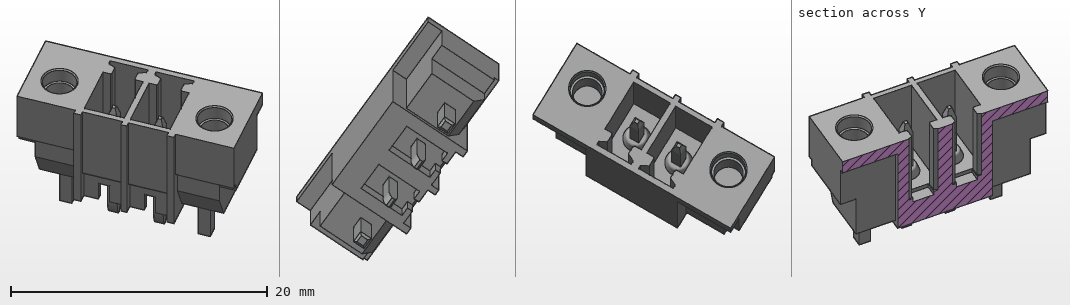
import cadquery as cq
import math


LENGTH = 17.91
HEIGHT = 9.19
REAR_Y = 3.98
FRONT_Y = -2.72
RIB_FRONT_Y = -3.1

PITCH = 3.8
CONTACT_XS = [-PITCH / 2, PITCH / 2]
CAVITY_WIDTH = 3.3
CAVITY_FRONT_Y = -2.3
CAVITY_REAR_Y = 2.1
END_WALL = 0.59
PARTITION = PITCH - CAVITY_WIDTH
CORE_WIDTH = PITCH + CAVITY_WIDTH + 2 * END_WALL

PANEL_RECESS = 0.32
LEDGE_TOP_Z = 2.67
LEDGE_BOTTOM_Z = 2.42
NOTCH_WIDTH = 0.91
NOTCH_HEIGHT = 1.67
PANEL_THICKNESS = 0.47
POCKET_WIDTH = 2.4
PANEL_Y = FRONT_Y + PANEL_RECESS
POCKET_FRONT_Y = PANEL_Y + PANEL_THICKNESS
CAVITY_FLOOR_Z = LEDGE_TOP_Z

KEY_REAR_Y = 3.5
KEY_FLANK_Y = 3.19
KEY_NECK_Y = 2.88
KEY_WIDTH = 3.12
NECK_WIDTH = 1.9
NECK_CHAMFER = 0.09
CHANNEL_WIDTH = 1.79
CHANNEL_DEPTH = 0.35

COLLAR_BASE_DIAMETER = 2.19
COLLAR_TOP_DIAMETER = 1.65
COLLAR_HEIGHT = 0.72
COLLAR_FILLET = 0.21

FLANGE_PLATE = 1.24
FLANGE_REAR_Y = 2.69
FLANGE_STEP_Z = 4.9
FLANGE_SHOULDER_Z = 4.32
FLANGE_BOTTOM_Z = 0.59
FLANGE_FOOT_LENGTH = 15.2
FOOT_FRONT_Y = CAVITY_FRONT_Y
FOOT_BEVEL_INSET = 1.0
FOOT_BEVEL_TOP_Z = 2.8

FLANGE_HOLE_X = 6.4
BORE_DIAMETER = 2.69
BORE_DEPTH = 1.25
BORE_CHAMFER = 0.1
INNER_BORE_DIAMETER = 2.3
INNER_BORE_DEPTH = 3.58

CONTACT_SIZE = 0.8
CONTACT_POINT_SIZE = 0.3
CONTACT_POINT_LENGTH = 0.9
CONTACT_TOP_Z = HEIGHT - 1.33
TAIL_BOTTOM_Z = -3.2
TAIL_NOSE_LENGTH = 1.07
TAIL_END_SIZE = 0.25

LEG_X = 5.71
LEG_SIZE = 1.0
LEG_TIP_LENGTH = 0.2
LEG_TIP_INSET = 0.2


def block(x_range, y_range, z_range):
    """Axis-aligned box between the given limits."""
    (x0, x1), (y0, y1), (z0, z1) = x_range, y_range, z_range
    return cq.Workplane("XY").box(x1 - x0, y1 - y0, z1 - z0, centered=False).translate((x0, y0, z0))


def centered_block(x, width, y_range, z_range):
    """Box of the given width centred on x."""
    return block((x - width / 2, x + width / 2), y_range, z_range)


def side_profile(points, length):
    """Outline in (y, z), extruded symmetrically along X."""
    return cq.Workplane("YZ").polyline(points).close().extrude(length / 2, both=True)


def square_taper(bottom_size, top_size, bottom_z, top_z):
    """Square frustum standing on the Z axis."""
    return (
        cq.Workplane("XY", origin=(0, 0, bottom_z))
        .rect(bottom_size, bottom_size)
        .workplane(offset=top_z - bottom_z)
        .rect(top_size, top_size)
        .loft(combine=True)
    )


def make_core():
    """Central block, with its lower front set back under a sloping ledge."""
    return side_profile(
        [
            (REAR_Y, 0),
            (REAR_Y, HEIGHT),
            (FRONT_Y, HEIGHT),
            (FRONT_Y, LEDGE_TOP_Z),
            (PANEL_Y, LEDGE_BOTTOM_Z),
            (PANEL_Y, 0),
        ],
        CORE_WIDTH,
    )


def make_flanges():
    """Both flanges as one bar: full-length upper part over a shorter bevelled foot."""
    upper = side_profile(
        [
            (REAR_Y, HEIGHT),
            (FRONT_Y, HEIGHT),
            (FRONT_Y, FLANGE_STEP_Z),
            (FOOT_FRONT_Y, FLANGE_STEP_Z),
            (FOOT_FRONT_Y, FLANGE_SHOULDER_Z),
            (FLANGE_REAR_Y, FLANGE_SHOULDER_Z),
            (FLANGE_REAR_Y, HEIGHT - FLANGE_PLATE),
            (REAR_Y, HEIGHT - FLANGE_PLATE),
        ],
        LENGTH,
    )
    foot = side_profile(
        [
            (FLANGE_REAR_Y, FLANGE_SHOULDER_Z),
            (FOOT_FRONT_Y, FLANGE_SHOULDER_Z),
            (FOOT_FRONT_Y, FOOT_BEVEL_TOP_Z),
            (FOOT_FRONT_Y + FOOT_BEVEL_INSET, FLANGE_BOTTOM_Z),
            (FLANGE_REAR_Y, FLANGE_BOTTOM_Z),
        ],
        FLANGE_FOOT_LENGTH,
    )
    bar = upper.union(foot)
    return bar.cut(centered_block(0, CORE_WIDTH, (FRONT_Y, REAR_Y), (0, HEIGHT)))


def make_ribs():
    """Full-height front ribs in line with the end walls and the partition."""
    end_rib_x = (CORE_WIDTH - END_WALL) / 2
    ribs = centered_block(0, PARTITION, (RIB_FRONT_Y, POCKET_FRONT_Y), (0, HEIGHT))
    for x in (-end_rib_x, end_rib_x):
        ribs = ribs.union(centered_block(x, END_WALL, (RIB_FRONT_Y, POCKET_FRONT_Y), (0, HEIGHT)))
    return ribs


def make_cavity(x):
    """Plug cavity with its dovetail key slot and the deeper channel along that slot."""
    half_key = KEY_WIDTH / 2
    half_neck = NECK_WIDTH / 2
    right_half = [
        (half_neck + NECK_CHAMFER, CAVITY_REAR_Y),
        (half_neck, CAVITY_REAR_Y + NECK_CHAMFER),
        (half_neck, KEY_NECK_Y),
        (half_key, KEY_FLANK_Y),
        (half_key, KEY_REAR_Y),
    ]
    left_half = [(-px, py) for px, py in reversed(right_half)]
    key_slot = (
        cq.Workplane("XY", origin=(x, 0, CAVITY_FLOOR_Z))
        .polyline(right_half + left_half)
        .close()
        .extrude(HEIGHT - CAVITY_FLOOR_Z)
    )
    opening = centered_block(
        x, CAVITY_WIDTH, (CAVITY_FRONT_Y, CAVITY_REAR_Y), (CAVITY_FLOOR_Z, HEIGHT)
    )
    channel = centered_block(
        x, CHANNEL_WIDTH, (CAVITY_REAR_Y, KEY_REAR_Y), (CAVITY_FLOOR_Z - CHANNEL_DEPTH, HEIGHT)
    )
    return opening.union(key_slot).union(channel)


def make_collar(x):
    """Conical collar with a rounded rim on the cavity floor."""
    return (
        cq.Workplane("XY", origin=(x, 0, CAVITY_FLOOR_Z))
        .circle(COLLAR_BASE_DIAMETER / 2)
        .workplane(offset=COLLAR_HEIGHT)
        .circle(COLLAR_TOP_DIAMETER / 2)
        .loft(combine=True)
        .faces(">Z")
        .edges()
        .fillet(COLLAR_FILLET)
    )


def make_underside(x):
    """Pocket below the contact plate, open to the front through a notch."""
    notch = centered_block(x, NOTCH_WIDTH, (PANEL_Y, POCKET_FRONT_Y), (0, NOTCH_HEIGHT))
    pocket = centered_block(
        x, POCKET_WIDTH, (POCKET_FRONT_Y, -POCKET_FRONT_Y), (0, NOTCH_HEIGHT)
    )
    return notch.union(pocket)


def make_flange_hole(x):
    """Stepped blind hole with a chamfered rim."""
    bore_radius = BORE_DIAMETER / 2
    inner_radius = INNER_BORE_DIAMETER / 2
    profile = [
        (0, HEIGHT),
        (bore_radius + BORE_CHAMFER, HEIGHT),
        (bore_radius, HEIGHT - BORE_CHAMFER),
        (bore_radius, HEIGHT - BORE_DEPTH),
        (inner_radius, HEIGHT - BORE_DEPTH),
        (inner_radius, HEIGHT - INNER_BORE_DEPTH),
        (0, HEIGHT - INNER_BORE_DEPTH),
    ]
    hole = cq.Workplane("XZ").polyline(profile).close().revolve(360, (0, 0, 0), (0, 1, 0))
    return hole.translate((x, 0, 0))


def make_housing():
    housing = make_core().union(make_flanges()).union(make_ribs())
    for x in CONTACT_XS:
        housing = housing.cut(make_cavity(x)).cut(make_underside(x))
        housing = housing.union(make_collar(x))
        contact_hole = centered_block(
            x, CONTACT_SIZE, (-CONTACT_SIZE / 2, CONTACT_SIZE / 2), (0, HEIGHT)
        )
        housing = housing.cut(contact_hole)
    for x in (-FLANGE_HOLE_X, FLANGE_HOLE_X):
        housing = housing.cut(make_flange_hole(x))
    return housing


def make_contact(x):
    """Straight square contact with a pyramidal point and an arched solder tail."""
    half = CONTACT_SIZE / 2
    half_end = TAIL_END_SIZE / 2
    shoulder_z = CONTACT_TOP_Z - CONTACT_POINT_LENGTH
    nose_z = TAIL_BOTTOM_Z + TAIL_NOSE_LENGTH
    inset = half - half_end
    arc_radius = (TAIL_NOSE_LENGTH**2 + inset**2) / (2 * inset)
    mid_drop = TAIL_NOSE_LENGTH / 2
    mid_inset = arc_radius - math.sqrt(arc_radius**2 - mid_drop**2)
    shank = (
        cq.Workplane("YZ")
        .moveTo(-half, shoulder_z)
        .lineTo(-half, nose_z)
        .threePointArc((mid_inset - half, nose_z - mid_drop), (-half_end, TAIL_BOTTOM_Z))
        .lineTo(half_end, TAIL_BOTTOM_Z)
        .threePointArc((half - mid_inset, nose_z - mid_drop), (half, nose_z))
        .lineTo(half, shoulder_z)
        .close()
        .extrude(half, both=True)
    )
    point = square_taper(CONTACT_SIZE, CONTACT_POINT_SIZE, shoulder_z, CONTACT_TOP_Z)
    return shank.union(point).translate((x, 0, 0))


def make_leg(x):
    """Square mounting leg with a tapered tip, standing under the flange foot."""
    tip_z = TAIL_BOTTOM_Z + LEG_TIP_LENGTH
    half = LEG_SIZE / 2
    shank = centered_block(0, LEG_SIZE, (-half, half), (tip_z, FLANGE_BOTTOM_Z))
    tip = square_taper(LEG_SIZE - 2 * LEG_TIP_INSET, LEG_SIZE, TAIL_BOTTOM_Z, tip_z)
    return shank.union(tip).translate((x, 0, 0))


housing = make_housing()
contacts = [make_contact(x) for x in CONTACT_XS]
legs = [make_leg(x) for x in (-LEG_X, LEG_X)]

result = cq.Compound.makeCompound(
    [housing.val(), *[contact.val() for contact in contacts], *[leg.val() for leg in legs]]
)